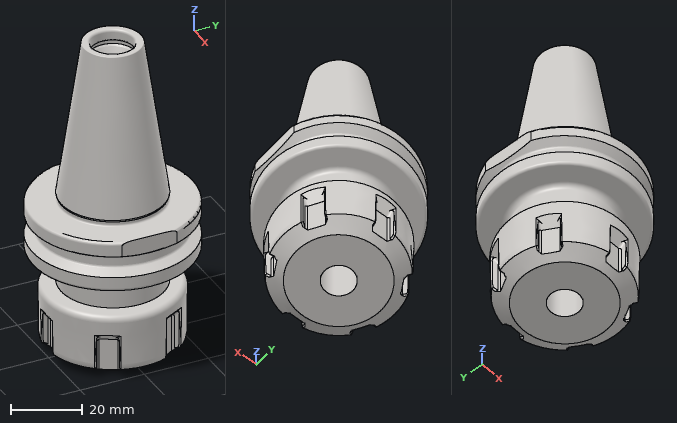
import cadquery as cq
import math

TOTAL_HEIGHT = 97.8

NUT_HEIGHT = 20.4
NUT_TOP_RADIUS = 21.1
NUT_LOW_RADIUS = 20.9
NUT_TOP_ROUND = 2.1
NUT_FACE_RADIUS = 15.55
NUT_CONE_ANGLE = 30.0
NUT_CONE_RADIUS = 20.6
NUT_SKIRT_START = 4.7

SLOT_COUNT = 6
SLOT_WIDTH = 6.5
SLOT_FLOOR = 18.1
SLOT_SHORT_TOP = 14.5
SLOT_TALL_TOP = 16.5
SLOT_ROOF_ANGLE = 45.0
SLOT_FLOOR_BEVEL = 0.6
SLOT_ROOF_ROUND = 1.0
SLOT_RIM_CHAMFER = 0.5
CUTTER_CLEARANCE = 1.0

COLLAR_RADIUS = 16.0
COLLAR_FILLET = 1.8
FLANGE_RADIUS = 50.0 / 2
FLANGE_BOTTOM = 30.9
FLANGE_TOP = 46.7
FLANGE_ROUND = 1.0
GROOVE_RADIUS = 22.0
GROOVE_MIDDLE = 38.9
GROOVE_MOUTH = 6.7
GROOVE_FLANK_ANGLE = 30.0
GROOVE_FILLET = 0.7
FLAT_DISTANCE = 23.5

NECK_RADIUS = 15.8
NECK_FILLET = 0.7
NECK_TOP = 48.3
TAPER_START = 48.9
TAPER_LARGE_RADIUS = 16.0
TAPER_SLOPE = 7 / 48
TAPER_TIP_ROUND = 0.3

THREAD_RADIUS = 5.2
PILOT_RADIUS = 6.5
PILOT_DEPTH = 3.3
PILOT_MOUTH_ROUND = 0.9
RELIEF_RADIUS = 6.8
RELIEF_DEPTH = 4.7
THREAD_MOUTH_RADIUS = 6.3
THREAD_MOUTH_ANGLE = 30.0


def revolve_profile(profile):
    """Turn an (r, z) outline drawn on the XZ plane about the Z axis."""
    return profile.close().revolve(360, (0, 0, 0), (0, 1, 0))


def make_nut():
    cone_height = (NUT_CONE_RADIUS - NUT_FACE_RADIUS) * math.tan(math.radians(NUT_CONE_ANGLE))
    outline = (
        cq.Workplane("XZ")
        .lineTo(0, NUT_HEIGHT)
        .lineTo(NUT_TOP_RADIUS, NUT_HEIGHT)
        .lineTo(NUT_LOW_RADIUS, NUT_SKIRT_START)
        .tangentArcPoint((NUT_CONE_RADIUS, cone_height), relative=False)
        .lineTo(NUT_FACE_RADIUS, 0)
    )
    return revolve_profile(outline).edges(">Z").fillet(NUT_TOP_ROUND)


def make_slot_cutter(top):
    """Slot along +X with beveled floor corners.

    The roof rises outward at the roof angle and reaches the height `top` at the nut's outer radius.
    """
    outer = NUT_TOP_RADIUS + CUTTER_CLEARANCE
    roof_slope = math.tan(math.radians(SLOT_ROOF_ANGLE))
    slot = (
        cq.Workplane("XZ")
        .moveTo(SLOT_FLOOR, 0)
        .lineTo(outer, 0)
        .lineTo(outer, top + (outer - NUT_TOP_RADIUS) * roof_slope)
        .lineTo(SLOT_FLOOR, top + (SLOT_FLOOR - NUT_TOP_RADIUS) * roof_slope)
        .close()
        .extrude(SLOT_WIDTH / 2, both=True)
    )
    return slot.edges("<X and |Z").chamfer(SLOT_FLOOR_BEVEL)


def lies_outside_bevel(edge):
    """True for edges farther from the axis than the slots' floor corners."""
    middle = edge.Center()
    return math.hypot(middle.x, middle.y) > SLOT_FLOOR + 2 * SLOT_FLOOR_BEVEL


def is_wall_rim(edge):
    """True where a slot wall meets the curved outside of the nut."""
    return edge.geomType() in ("BSPLINE", "HYPERBOLA") and lies_outside_bevel(edge)


def is_roof_corner(edge):
    """True for the slanted straight edges between a slot's walls and its roof."""
    if edge.geomType() != "LINE":
        return False
    rise = abs(edge.tangentAt(0).z)
    slanted = math.isclose(rise, math.sin(math.radians(SLOT_ROOF_ANGLE)), abs_tol=0.01)
    return slanted and lies_outside_bevel(edge)


def cut_slots(nut):
    """The three slots on the -Y half are short, the three on the +Y half tall."""
    for index in range(SLOT_COUNT):
        angle = (index + 0.5) * 360 / SLOT_COUNT
        top = SLOT_TALL_TOP if angle < 180 else SLOT_SHORT_TOP
        nut = nut.cut(make_slot_cutter(top).rotate((0, 0, 0), (0, 0, 1), angle))
    nut = nut.edges().filter(is_wall_rim).chamfer(SLOT_RIM_CHAMFER)
    return nut.edges().filter(is_roof_corner).fillet(SLOT_ROOF_ROUND)


def make_shank():
    groove_low = GROOVE_MIDDLE - GROOVE_MOUTH / 2
    groove_high = GROOVE_MIDDLE + GROOVE_MOUTH / 2
    flank_height = (FLANGE_RADIUS - GROOVE_RADIUS) * math.tan(math.radians(GROOVE_FLANK_ANGLE))
    tip_radius = TAPER_LARGE_RADIUS - (TOTAL_HEIGHT - TAPER_START) * TAPER_SLOPE
    outline = (
        cq.Workplane("XZ")
        .moveTo(0, NUT_HEIGHT)
        .lineTo(COLLAR_RADIUS, NUT_HEIGHT)
        .lineTo(COLLAR_RADIUS, FLANGE_BOTTOM - COLLAR_FILLET)
        .tangentArcPoint((COLLAR_FILLET, COLLAR_FILLET))
        .lineTo(FLANGE_RADIUS - FLANGE_ROUND, FLANGE_BOTTOM)
        .tangentArcPoint((FLANGE_ROUND, FLANGE_ROUND))
        .lineTo(FLANGE_RADIUS, groove_low)
        .lineTo(GROOVE_RADIUS, groove_low + flank_height)
        .lineTo(GROOVE_RADIUS, groove_high - flank_height)
        .lineTo(FLANGE_RADIUS, groove_high)
        .lineTo(FLANGE_RADIUS, FLANGE_TOP - FLANGE_ROUND)
        .tangentArcPoint((-FLANGE_ROUND, FLANGE_ROUND))
        .lineTo(NECK_RADIUS + NECK_FILLET, FLANGE_TOP)
        .tangentArcPoint((-NECK_FILLET, NECK_FILLET))
        .lineTo(NECK_RADIUS, NECK_TOP)
        .lineTo(TAPER_LARGE_RADIUS, TAPER_START)
        .lineTo(tip_radius, TOTAL_HEIGHT)
        .lineTo(0, TOTAL_HEIGHT)
    )
    shank = revolve_profile(outline)
    groove_floor = cq.selectors.BoxSelector(
        (-1, -1, groove_low + flank_height / 2), (1, 1, groove_high - flank_height / 2)
    )
    shank = shank.edges(groove_floor).edges("%CIRCLE").fillet(GROOVE_FILLET)
    return shank.faces(">Z").edges().fillet(TAPER_TIP_ROUND)


def make_flat_cutter():
    """Material beyond the two flats on the upper half of the flange."""
    height = FLANGE_TOP - GROOVE_MIDDLE
    depth = 2 * (FLANGE_RADIUS - FLAT_DISTANCE)
    return (
        cq.Workplane("XY")
        .workplane(offset=GROOVE_MIDDLE)
        .pushPoints([(side * (FLAT_DISTANCE + depth / 2), 0) for side in (-1, 1)])
        .rect(depth, 2 * FLANGE_RADIUS)
        .extrude(height)
    )


def make_bore():
    """Through hole with a lead-in cone, a relief groove and a rounded pilot bore."""
    pilot_end = TOTAL_HEIGHT - PILOT_DEPTH
    relief_end = TOTAL_HEIGHT - RELIEF_DEPTH
    cone_top = relief_end - (RELIEF_RADIUS - THREAD_MOUTH_RADIUS)
    cone_height = (THREAD_MOUTH_RADIUS - THREAD_RADIUS) / math.tan(math.radians(THREAD_MOUTH_ANGLE))
    outline = (
        cq.Workplane("XZ")
        .lineTo(THREAD_RADIUS, 0)
        .lineTo(THREAD_RADIUS, cone_top - cone_height)
        .lineTo(THREAD_MOUTH_RADIUS, cone_top)
        .lineTo(RELIEF_RADIUS, relief_end)
        .lineTo(RELIEF_RADIUS, pilot_end)
        .lineTo(PILOT_RADIUS, pilot_end)
        .lineTo(PILOT_RADIUS, TOTAL_HEIGHT - PILOT_MOUTH_ROUND)
        .tangentArcPoint((PILOT_MOUTH_ROUND, PILOT_MOUTH_ROUND))
        .lineTo(0, TOTAL_HEIGHT)
    )
    return revolve_profile(outline)


nut = cut_slots(make_nut())
shank = make_shank().cut(make_flat_cutter())
result = nut.union(shank).cut(make_bore())